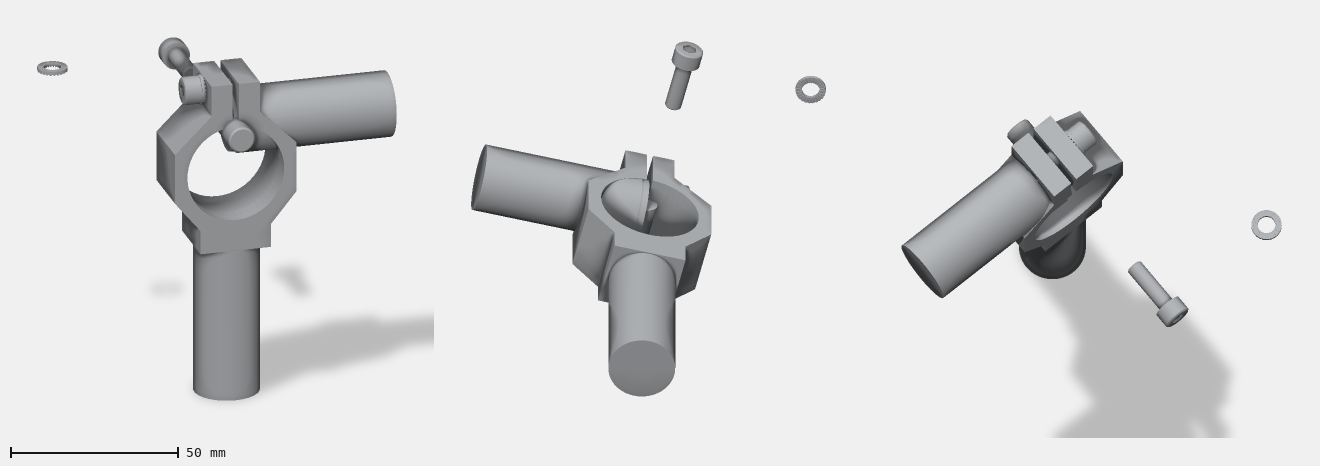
import cadquery as cq
import math


block_width = 20.2
bore_diameter = 30.0
block_half_depth = 18.9
jaw_half_depth = 7.5
foot_half_depth = 11.0
block_top = 28.5
jaw_bottom = 19.0
side_top = 7.8
side_bottom = -7.8
foot_top = -17.5
foot_bottom = -24.9
slot_width = 1.9

rod_diameter = 20.0
rod_length = 50.0
spigot_diameter = 18.8
spigot_length = 2.2
lower_rod_top = -22.9
rear_rod_height = 13.1

pin_diameter = 8.0
pin_length = 20.0
pin_start = -3.0
pin_chamfer = 0.5

head_diameter = 8.5
head_height = 5.1
head_chamfer = 0.4
shaft_diameter = 5.0
shaft_length = 15.9
shaft_chamfer = 0.4
neck_fillet = 0.15
socket_across_flats = 4.0
socket_depth = 0.7
clearance_diameter = 5.3

washer_diameter = 9.0
washer_thickness = 1.2
tooth_count = 24
tooth_height = 0.3
serration_depth = 0.05
tooth_gap = 0.5

clamp_bolt_height = block_top - washer_diameter / 2
clamp_socket_turn = math.radians(6)
clamp_seat = (0, -jaw_half_depth - washer_thickness, clamp_bolt_height)
loose_bolt_start = -59.5
loose_seat = (loose_bolt_start + head_height, 0, rear_rod_height)
loose_washer_top = (-53.8, -38.7, 14.2)

clamp_plane = cq.Plane(
    origin=clamp_seat,
    xDir=(math.cos(clamp_socket_turn), 0, -math.sin(clamp_socket_turn)),
    normal=(0, 1, 0),
)
loose_bolt_plane = cq.Plane(origin=loose_seat, xDir=(0, 0, 1), normal=(1, 0, 0))
loose_washer_plane = cq.Plane(origin=loose_washer_top, xDir=(1, 0, 0), normal=(0, 0, -1))

lower_rod_plane = cq.Plane(origin=(0, 0, lower_rod_top), xDir=(1, 0, 0), normal=(0, 0, -1))
rear_rod_plane = cq.Plane(origin=(0, 0, rear_rod_height), xDir=(1, 0, 0), normal=(0, 1, 0))
pin_plane = cq.Plane(origin=(pin_start, 0, rear_rod_height), xDir=(0, 1, 0), normal=(1, 0, 0))

bolt_hole_plane = cq.Plane(origin=(0, 0, clamp_bolt_height), xDir=(1, 0, 0), normal=(0, 1, 0))


def make_cylinder(plane, diameter, length):
    return cq.Workplane(plane).circle(diameter / 2).extrude(length)


def make_rod(plane):
    """Round rod with a thinner spigot at its start."""
    spigot = make_cylinder(plane, spigot_diameter, spigot_length)
    shank = (
        cq.Workplane(plane)
        .workplane(offset=spigot_length)
        .circle(rod_diameter / 2)
        .extrude(rod_length - spigot_length)
    )
    return spigot.union(shank)


def make_pin():
    """Plain pin with a chamfer at its outer end."""
    return make_cylinder(pin_plane, pin_diameter, pin_length).faces(">X").chamfer(pin_chamfer)


def make_bolt(plane):
    """Socket head bolt, turned about its axis, with a hexagonal socket in the head."""
    head_radius = head_diameter / 2
    shaft_radius = shaft_diameter / 2
    half_profile = (
        cq.Workplane("XZ")
        .moveTo(0, -head_height)
        .lineTo(head_radius - head_chamfer, -head_height)
        .lineTo(head_radius, head_chamfer - head_height)
        .lineTo(head_radius, 0)
        .lineTo(shaft_radius + neck_fillet, 0)
        .radiusArc((shaft_radius, neck_fillet), neck_fillet)
        .lineTo(shaft_radius, shaft_length - shaft_chamfer)
        .lineTo(shaft_radius - shaft_chamfer, shaft_length)
        .lineTo(0, shaft_length)
        .close()
    )
    socket_across_corners = socket_across_flats / math.cos(math.pi / 6)
    socket = (
        cq.Workplane("XY", origin=(0, 0, -head_height))
        .polygon(6, socket_across_corners)
        .extrude(socket_depth)
    )
    bolt = half_profile.revolve(360, (0, 0), (0, 1)).cut(socket)
    return bolt.val().located(plane.location)


def make_radial_gaps(bottom, height):
    """Ring of radial slots that separate the washer's teeth."""
    return (
        cq.Workplane("XY", origin=(0, 0, bottom))
        .polarArray(washer_diameter / 2, 0, 360, tooth_count)
        .rect(washer_diameter - clearance_diameter / 2, tooth_gap)
        .extrude(height)
    )


def make_washer(plane):
    """Ring with deep radial teeth on the face away from the bolt head and shallow ones under the head."""
    ring = (
        cq.Workplane("XY")
        .circle(washer_diameter / 2)
        .circle(clearance_diameter / 2)
        .extrude(washer_thickness)
    )
    tooth_gaps = make_radial_gaps(washer_thickness - tooth_height, tooth_height)
    serration_gaps = make_radial_gaps(0, serration_depth)
    return ring.cut(tooth_gaps).cut(serration_gaps).val().located(plane.location)


def make_rear_bolt_hole():
    """Hole for the clamp bolt in the rear jaw, which also grazes the top of the rear rod."""
    return make_cylinder(bolt_hole_plane, shaft_diameter, jaw_half_depth)


def make_block():
    """Split clamp block with a bore, two jaws and recesses for the parts it holds."""
    rear_side = [
        (jaw_half_depth, block_top),
        (jaw_half_depth, jaw_bottom),
        (block_half_depth, side_top),
        (block_half_depth, side_bottom),
        (foot_half_depth, foot_top),
        (foot_half_depth, foot_bottom),
    ]
    front_side = [(-y, z) for y, z in reversed(rear_side)]
    body = cq.Workplane("YZ").polyline(rear_side + front_side).close().extrude(block_width / 2, both=True)
    bore = cq.Workplane("YZ").circle(bore_diameter / 2).extrude(block_width / 2, both=True)
    slot = cq.Workplane("XY").rect(block_width, slot_width).extrude(block_top)
    clearance_hole = make_cylinder(bolt_hole_plane, clearance_diameter, -jaw_half_depth)
    body = body.cut(bore).cut(slot).cut(clearance_hole).cut(make_rear_bolt_hole())
    spigot_recess = make_cylinder(lower_rod_plane, rod_diameter, lower_rod_top - foot_bottom)
    rear_rod_hole = make_cylinder(rear_rod_plane, rod_diameter, rod_length)
    pin_hole = make_cylinder(pin_plane, pin_diameter, pin_length)
    return body.cut(spigot_recess).cut(rear_rod_hole).cut(pin_hole)


block = make_block()
pin = make_pin()
lower_rod = make_rod(lower_rod_plane)
rear_rod = make_rod(rear_rod_plane).cut(make_rear_bolt_hole()).cut(pin)
bolts = [make_bolt(plane) for plane in (clamp_plane, loose_bolt_plane)]
washers = [make_washer(plane) for plane in (clamp_plane, loose_washer_plane)]

result = cq.Compound.makeCompound(
    [block.val(), pin.val(), lower_rod.val(), rear_rod.val(), *bolts, *washers]
)